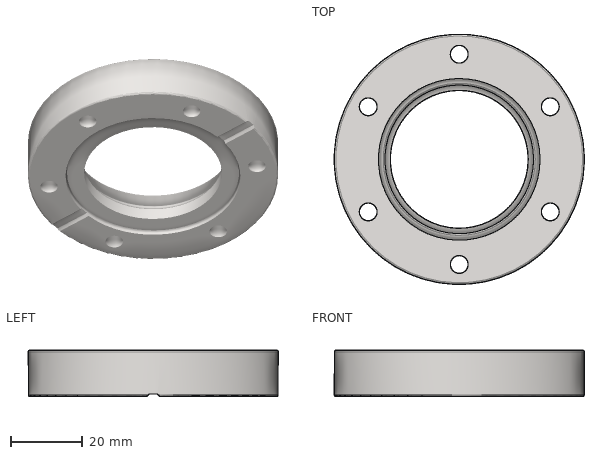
import cadquery as cq

RING_DIAMETER = 70.0
RING_HEIGHT = 13.0
RING_EDGE_RADIUS = 0.5
LIP_BORE_DIAMETER = 45.2
LIP_HEIGHT = 5.3
RECESS_DIAMETER = 48.9

BOLT_COUNT = 6
BOLT_HOLE_DIAMETER = 4.9
BOLT_CIRCLE_DIAMETER = 58.8
FIRST_BOLT_ANGLE = 90.0

GROOVE_BOTTOM_WIDTH = 3.65
GROOVE_TOP_WIDTH = 2.25
GROOVE_DEPTH = 0.7

INSERT_DIAMETER = 48.1
INSERT_BOTTOM = 1.25
INSERT_TOP = RING_HEIGHT - LIP_HEIGHT
INSERT_HEIGHT = INSERT_TOP - INSERT_BOTTOM
BORE_DIAMETER = 38.5
COUNTERBORE_DIAMETER = 41.6
COUNTERBORE_DEPTH = 2.8
COUNTERBORE_EDGE_RADIUS = 0.5


def cylinder(diameter, height, bottom=0.0):
    """Upright cylinder centred on the Z axis."""
    return cq.Workplane("XY").workplane(offset=bottom).circle(diameter / 2).extrude(height)


def bolt_holes():
    """Through holes evenly spaced on the bolt circle."""
    return (
        cq.Workplane("XY")
        .polarArray(BOLT_CIRCLE_DIAMETER / 2, FIRST_BOLT_ANGLE, 360, BOLT_COUNT)
        .circle(BOLT_HOLE_DIAMETER / 2)
        .extrude(RING_HEIGHT)
    )


def bottom_groove():
    """Trapezoidal groove along X, running right across the bottom face."""
    bottom_half = GROOVE_BOTTOM_WIDTH / 2
    top_half = GROOVE_TOP_WIDTH / 2
    return (
        cq.Workplane("YZ")
        .polyline([
            (-bottom_half, 0),
            (bottom_half, 0),
            (top_half, GROOVE_DEPTH),
            (-top_half, GROOVE_DEPTH),
        ])
        .close()
        .extrude(RING_DIAMETER / 2, both=True)
    )


def make_ring():
    """Bolted ring with an inner lip above a wider recess for the insert."""
    blank = cylinder(RING_DIAMETER, RING_HEIGHT).edges().fillet(RING_EDGE_RADIUS)
    return (
        blank
        .cut(cylinder(LIP_BORE_DIAMETER, RING_HEIGHT))
        .cut(cylinder(RECESS_DIAMETER, INSERT_TOP))
        .cut(bolt_holes())
        .cut(bottom_groove())
    )


def make_insert():
    """Flat insert with a stepped bore and a rounded mouth."""
    counterbore_floor = INSERT_TOP - COUNTERBORE_DEPTH
    return (
        cylinder(INSERT_DIAMETER, INSERT_HEIGHT, INSERT_BOTTOM)
        .cut(cylinder(BORE_DIAMETER, INSERT_HEIGHT, INSERT_BOTTOM))
        .cut(cylinder(COUNTERBORE_DIAMETER, COUNTERBORE_DEPTH, counterbore_floor))
        .faces(">Z")
        .edges(cq.selectors.RadiusNthSelector(0))
        .fillet(COUNTERBORE_EDGE_RADIUS)
    )


ring = make_ring()
insert = make_insert()

result = cq.Compound.makeCompound([ring.solids().val(), insert.solids().val()])